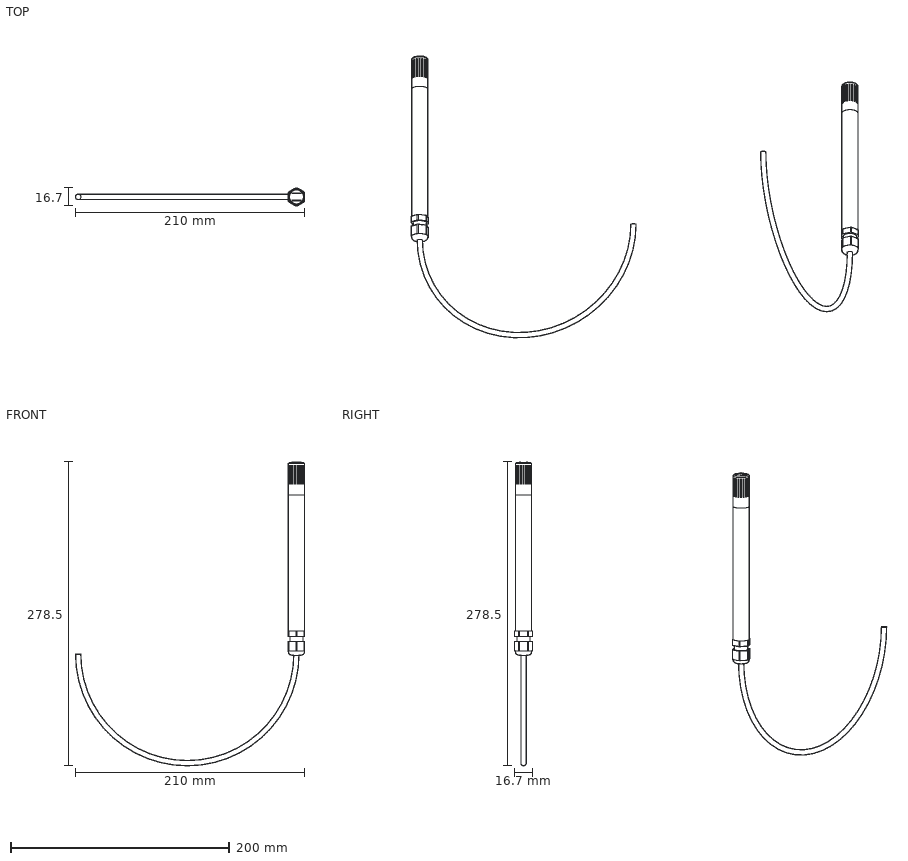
import cadquery as cq
import math

OVERALL_HEIGHT = 278.5

CABLE_DIAMETER = 5.0
CABLE_BEND_RADIUS = 100.0
CABLE_ARC_CENTER_Z = CABLE_BEND_RADIUS + CABLE_DIAMETER / 2

HEX_ACROSS_FLATS = 15.0
HEX_CORNER_DIAMETER = 16.7
GLAND_NUT_BOTTOM_Z = 101.5
DOME_HEIGHT = 4.0
DOME_DIAMETER = HEX_ACROSS_FLATS
DOME_FILLET = 3.3
NUT_HEX_HEIGHT = 9.0
NECK_DIAMETER = 12.3
NECK_HEIGHT = 4.2
BODY_HEX_HEIGHT = 5.3

NUT_HEX_BOTTOM_Z = GLAND_NUT_BOTTOM_Z + DOME_HEIGHT
NECK_BOTTOM_Z = NUT_HEX_BOTTOM_Z + NUT_HEX_HEIGHT
BODY_HEX_BOTTOM_Z = NECK_BOTTOM_Z + NECK_HEIGHT
TUBE_BOTTOM_Z = BODY_HEX_BOTTOM_Z + BODY_HEX_HEIGHT

TUBE_DIAMETER = 15.0
CAP_HEIGHT = 29.8
CAP_TOP_CHAMFER = 1.0
SLOT_COUNT = 18
SLOT_WIDTH = 0.8
SLOT_FLOOR_DIAMETER = 13.5
SLOT_HEIGHT = 17.0
SLOT_TOP_OFFSET = 2.8

BAR_LENGTH = 8.4
BAR_WIDTH = 0.8
BAR_SPACING = 6.7
BAR_HEIGHT = 0.5

CAP_TOP_Z = OVERALL_HEIGHT - BAR_HEIGHT
CAP_BOTTOM_Z = CAP_TOP_Z - CAP_HEIGHT
SLOT_TOP_Z = CAP_TOP_Z - SLOT_TOP_OFFSET
SLOT_BOTTOM_Z = SLOT_TOP_Z - SLOT_HEIGHT


def cylinder(diameter, bottom_z, height):
    return cq.Workplane("XY").workplane(offset=bottom_z).circle(diameter / 2).extrude(height)


def trimmed_hexagon(bottom_z, height):
    """Hexagonal prism with corners on the Y axis, cut back by a round envelope."""
    across_corners = HEX_ACROSS_FLATS / math.cos(math.radians(30))
    hexagon = (
        cq.Workplane("XY")
        .workplane(offset=bottom_z)
        .transformed(rotate=(0, 0, 90))
        .polygon(6, across_corners)
        .extrude(height)
    )
    return hexagon.intersect(cylinder(HEX_CORNER_DIAMETER, bottom_z, height))


def make_cable():
    path = (
        cq.Workplane("XZ")
        .moveTo(0, NECK_BOTTOM_Z)
        .lineTo(0, CABLE_ARC_CENTER_Z)
        .threePointArc(
            (-CABLE_BEND_RADIUS, CABLE_ARC_CENTER_Z - CABLE_BEND_RADIUS),
            (-2 * CABLE_BEND_RADIUS, CABLE_ARC_CENTER_Z),
        )
    )
    section = cq.Workplane("XY").workplane(offset=NECK_BOTTOM_Z).circle(CABLE_DIAMETER / 2)
    return section.sweep(path)


def make_gland_nut():
    dome = cylinder(DOME_DIAMETER, GLAND_NUT_BOTTOM_Z, DOME_HEIGHT).faces("<Z").edges().fillet(DOME_FILLET)
    nut = trimmed_hexagon(NUT_HEX_BOTTOM_Z, NUT_HEX_HEIGHT).union(dome)
    cable_hole = cylinder(CABLE_DIAMETER, GLAND_NUT_BOTTOM_Z, DOME_HEIGHT + NUT_HEX_HEIGHT)
    return nut.cut(cable_hole)


def make_gland_body():
    neck = cylinder(NECK_DIAMETER, NECK_BOTTOM_Z, NECK_HEIGHT)
    return trimmed_hexagon(BODY_HEX_BOTTOM_Z, BODY_HEX_HEIGHT).union(neck)


def make_tube():
    return cylinder(TUBE_DIAMETER, TUBE_BOTTOM_Z, CAP_BOTTOM_Z - TUBE_BOTTOM_Z)


def make_cap():
    cap = cylinder(TUBE_DIAMETER, CAP_BOTTOM_Z, CAP_HEIGHT).faces(">Z").edges().chamfer(CAP_TOP_CHAMFER)
    slot_floor_radius = SLOT_FLOOR_DIAMETER / 2
    slot_cutter = cq.Workplane("XY").box(
        TUBE_DIAMETER, SLOT_WIDTH, SLOT_HEIGHT, centered=(False, True, False)
    ).translate((slot_floor_radius, 0, SLOT_BOTTOM_Z))
    for index in range(SLOT_COUNT):
        angle = index * 360 / SLOT_COUNT
        cap = cap.cut(slot_cutter.rotate((0, 0, 0), (0, 0, 1), angle))
    bars = (
        cq.Workplane("XY")
        .workplane(offset=CAP_TOP_Z)
        .rarray(2.8, BAR_SPACING, 1, 2)
        .rect(BAR_LENGTH, BAR_WIDTH)
        .extrude(BAR_HEIGHT)
    )
    return cap.union(bars)


cable = make_cable()
gland_nut = make_gland_nut()
gland_body = make_gland_body()
tube = make_tube()
cap = make_cap()

result = cq.Compound.makeCompound(
    [cable.val(), gland_nut.val(), gland_body.val(), tube.val(), cap.val()]
)